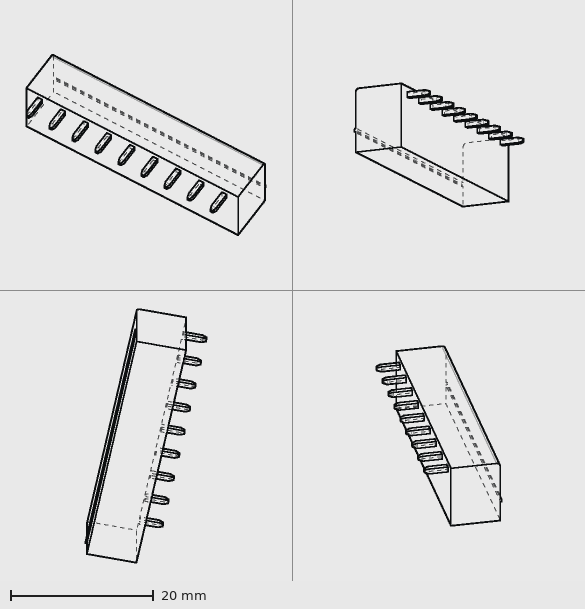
import cadquery as cq

BODY_LENGTH = 35.08
BODY_DEPTH = 7.1
BODY_HEIGHT = 9.2
EDGE_RADIUS = 0.55

RIDGE_DEPTH = 0.2
RIDGE_TOP = 3.5
RIDGE_HEIGHT = 0.53

PIN_COUNT = 9
END_MARGIN = 2.28
PIN_PITCH = (BODY_LENGTH - 2 * END_MARGIN) / (PIN_COUNT - 1)
PIN_SIZE = 0.77
PIN_LENGTH = 3.35
PIN_DROP = 1.2
TIP_LENGTH = 0.6
TIP_SIZE = 0.42


def make_body():
    """Block with its top back edge rounded."""
    block = cq.Workplane("XY").box(BODY_LENGTH, BODY_DEPTH, BODY_HEIGHT, centered=(True, False, False))
    return block.edges(">Y and >Z").fillet(EDGE_RADIUS)


def make_ridge():
    """Full-length ridge; its profile reaches inside the body so that the two join."""
    inner_y = BODY_DEPTH - RIDGE_DEPTH
    outer_y = BODY_DEPTH + RIDGE_DEPTH
    bottom = RIDGE_TOP - RIDGE_HEIGHT
    return (
        cq.Workplane("YZ", origin=(-BODY_LENGTH / 2, 0, 0))
        .moveTo(inner_y, bottom)
        .lineTo(outer_y, bottom)
        .lineTo(outer_y, RIDGE_TOP - RIDGE_DEPTH)
        .lineTo(BODY_DEPTH, RIDGE_TOP)
        .lineTo(inner_y, RIDGE_TOP)
        .close()
        .extrude(BODY_LENGTH)
    )


def make_pin(x):
    """Square pin pointing to -Y, ending in a blunt tapered tip."""
    shank_length = PIN_LENGTH - TIP_LENGTH
    face = cq.Workplane("XZ", origin=(x, 0, BODY_HEIGHT - PIN_DROP))
    shank = face.rect(PIN_SIZE, PIN_SIZE).extrude(shank_length)
    tip = (
        face.workplane(offset=shank_length)
        .rect(PIN_SIZE, PIN_SIZE)
        .workplane(offset=TIP_LENGTH)
        .rect(TIP_SIZE, TIP_SIZE)
        .loft(ruled=True)
    )
    return shank.union(tip)


result = make_body().union(make_ridge())
for index in range(PIN_COUNT):
    pin_x = -BODY_LENGTH / 2 + END_MARGIN + index * PIN_PITCH
    result = result.union(make_pin(pin_x))